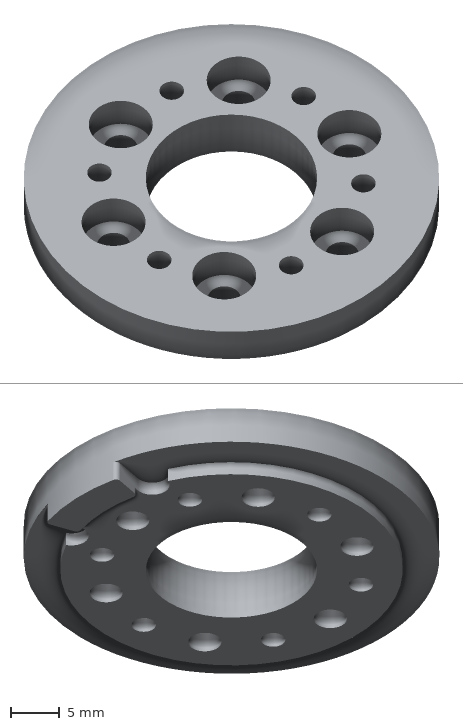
import cadquery as cq
import math

flange_radius = 21.25
flange_height = 4.12
spigot_radius = 17.5
spigot_height = 1.5
key_drop = 0.7
bore_diameter = 17.5

pitch_radius = 13.5
holes_per_ring = 6
screw_diameter = 3.4
counterbore_diameter = 6.55
counterbore_depth = 3.5
pin_diameter = 2.5

key_angle = 85.0
key_half_span = 15.0
key_corner_radius = 0.5
relief_half_span = 5.8

spigot_bottom = -flange_height - spigot_height
key_start = key_angle - key_half_span
key_end = key_angle + key_half_span
key_height = spigot_height + key_drop
overall_height = flange_height + key_height


def polar(radius, angle):
    """Point at a radius and an angle in degrees."""
    return (radius * math.cos(math.radians(angle)), radius * math.sin(math.radians(angle)))


def hole_ring(start_angle, diameter, depth):
    """Ring of equally spaced cylinders reaching down from the top face."""
    return (
        cq.Workplane("XY")
        .polarArray(pitch_radius, start_angle, 360, holes_per_ring)
        .circle(diameter / 2)
        .extrude(-depth)
    )


def make_key():
    """Ring sector with radial sides and rounded corners."""
    return (
        cq.Workplane("XY", origin=(0, 0, -flange_height))
        .moveTo(*polar(spigot_radius, key_start))
        .lineTo(*polar(flange_radius, key_start))
        .threePointArc(polar(flange_radius, key_angle), polar(flange_radius, key_end))
        .lineTo(*polar(spigot_radius, key_end))
        .threePointArc(polar(spigot_radius, key_angle), polar(spigot_radius, key_start))
        .close()
        .extrude(-key_height)
        .edges("|Z")
        .fillet(key_corner_radius)
    )


def make_spigot():
    """Disc with a round relief beside each side of the key."""
    spigot = cq.Workplane("XY", origin=(0, 0, spigot_bottom)).circle(spigot_radius).extrude(spigot_height)
    relief_radius = spigot_radius * math.sin(math.radians(relief_half_span))
    offset = key_half_span + relief_half_span
    centers = [polar(spigot_radius, key_angle + side * offset) for side in (-1, 1)]
    reliefs = (
        cq.Workplane("XY", origin=(0, 0, spigot_bottom))
        .pushPoints(centers)
        .circle(relief_radius)
        .extrude(spigot_height)
    )
    return spigot.cut(reliefs)


def make_key_root():
    """Square inner end of the key, joining it to the spigot above the spigot's bottom face."""
    root_radius = spigot_radius + 2 * key_corner_radius
    inner_radius = spigot_radius - key_corner_radius
    return (
        cq.Workplane("XY", origin=(0, 0, -flange_height))
        .moveTo(*polar(inner_radius, key_start))
        .lineTo(*polar(root_radius, key_start))
        .threePointArc(polar(root_radius, key_angle), polar(root_radius, key_end))
        .lineTo(*polar(inner_radius, key_end))
        .close()
        .extrude(-spigot_height)
    )


flange = cq.Workplane("XY").circle(flange_radius).extrude(-flange_height)
body = flange.union(make_spigot()).union(make_key_root()).union(make_key())

bore = cq.Workplane("XY").circle(bore_diameter / 2).extrude(-overall_height)
half_pitch = 180 / holes_per_ring
result = (
    body.cut(bore)
    .cut(hole_ring(key_angle, screw_diameter, overall_height))
    .cut(hole_ring(key_angle, counterbore_diameter, counterbore_depth))
    .cut(hole_ring(key_angle + half_pitch, pin_diameter, overall_height))
)